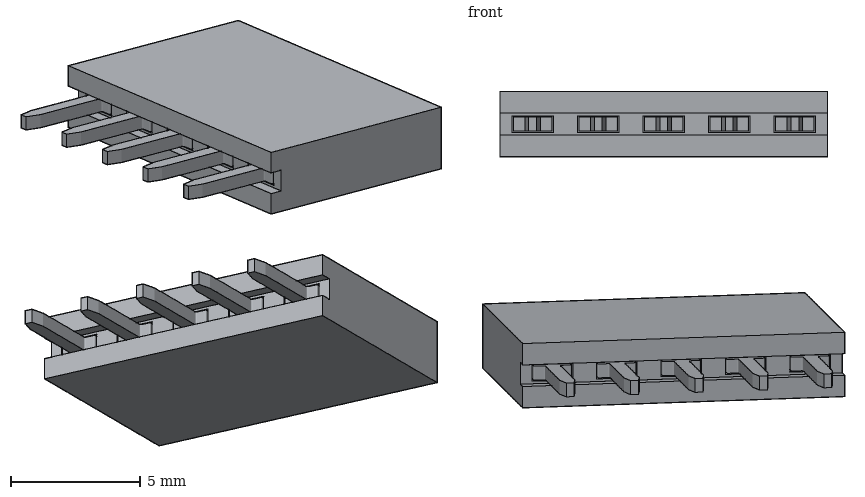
import cadquery as cq

HOUSING_WIDTH = 12.7
HOUSING_DEPTH = 8.4
HOUSING_HEIGHT = 2.54
GROOVE_HEIGHT = 0.85
GROOVE_DEPTH = 0.5

CONTACT_COUNT = 5
CONTACT_PITCH = HOUSING_WIDTH / CONTACT_COUNT
CONTACT_THICKNESS = 0.55
BASE_WIDTH = 1.5
BASE_PROUD = 0.05
BASE_FILLET = 0.05
PIN_WIDTH = 0.6
PIN_REACH = 3.2
TIP_WIDTH = 0.3
TIP_LENGTH = 0.6

SOCKET_DEPTH = 1.02
SOCKET_CLEARANCE = 0.05
SOCKET_WIDTH = BASE_WIDTH + 2 * SOCKET_CLEARANCE
SOCKET_HEIGHT = CONTACT_THICKNESS + 2 * SOCKET_CLEARANCE

GROOVE_FLOOR_Y = GROOVE_DEPTH
SOCKET_FLOOR_Y = GROOVE_FLOOR_Y + SOCKET_DEPTH
BASE_FRONT_Y = GROOVE_FLOOR_Y - BASE_PROUD
PIN_END_Y = -PIN_REACH

contact_centers = [(i - (CONTACT_COUNT - 1) / 2) * CONTACT_PITCH for i in range(CONTACT_COUNT)]


def block(width, depth, height, center_x, front_y):
    """Box centred on Z = 0 and on center_x, running from front_y towards +Y."""
    return (
        cq.Workplane("XY")
        .box(width, depth, height, centered=(True, False, True))
        .translate((center_x, front_y, 0))
    )


def make_housing():
    """Plain block with a full-width front groove and one socket per contact."""
    body = block(HOUSING_WIDTH, HOUSING_DEPTH, HOUSING_HEIGHT, 0, 0)
    body = body.cut(block(HOUSING_WIDTH, GROOVE_DEPTH, GROOVE_HEIGHT, 0, 0))
    for center_x in contact_centers:
        body = body.cut(block(SOCKET_WIDTH, SOCKET_DEPTH, SOCKET_HEIGHT, center_x, GROOVE_FLOOR_Y))
    return body


def make_contact(center_x):
    """Flat contact seated on its socket floor, with rounded base corners and pin roots."""
    half_base = BASE_WIDTH / 2
    half_pin = PIN_WIDTH / 2
    half_tip = TIP_WIDTH / 2
    taper_start_y = PIN_END_Y + TIP_LENGTH
    outline = [
        (-half_base, SOCKET_FLOOR_Y),
        (-half_base, BASE_FRONT_Y),
        (-half_pin, BASE_FRONT_Y),
        (-half_pin, taper_start_y),
        (-half_tip, PIN_END_Y),
        (half_tip, PIN_END_Y),
        (half_pin, taper_start_y),
        (half_pin, BASE_FRONT_Y),
        (half_base, BASE_FRONT_Y),
        (half_base, SOCKET_FLOOR_Y),
    ]
    blade = cq.Workplane("XY").polyline(outline).close().extrude(CONTACT_THICKNESS / 2, both=True)
    front_edges = cq.selectors.BoxSelector(
        (-BASE_WIDTH, BASE_FRONT_Y - BASE_FILLET, -CONTACT_THICKNESS),
        (BASE_WIDTH, BASE_FRONT_Y + BASE_FILLET, CONTACT_THICKNESS),
    )
    blade = blade.edges("|Z").edges(front_edges).fillet(BASE_FILLET)
    return blade.translate((center_x, 0, 0))


housing = make_housing()
contacts = [make_contact(center_x) for center_x in contact_centers]

result = cq.Compound.makeCompound([housing.val(), *[contact.val() for contact in contacts]])